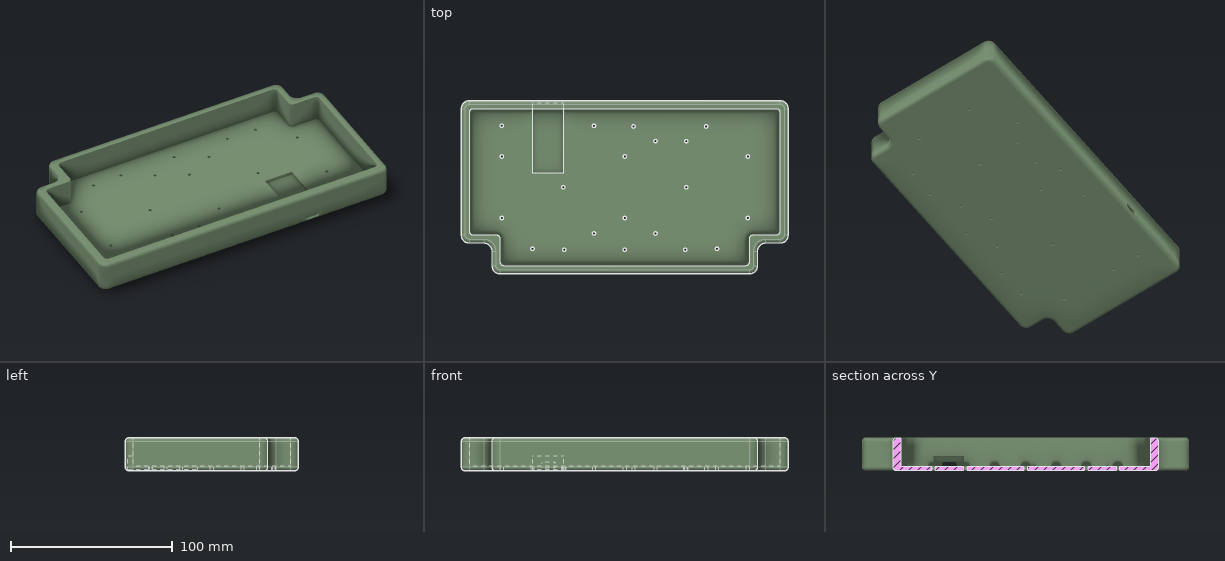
import cadquery as cq

pitch = 19.0
columns = 10
rows = 5
clearance = 1.0
wall = 5.0
height = 20.7
floor_thickness = 3.0

outer_corner_radius = 5.0
inner_corner_radius = 2.5
rim_fillet = 2.5

screw_hole_diameter = 2.0

pocket_width = pitch
pocket_center_x = -2.5 * pitch
pocket_length = 39.7
pocket_depth = 2.0
pocket_wall_bite = 3.5
pocket_height = 8.0

port_width = 9.3
port_height = 3.6
port_offset_x = 0.5
port_center_z = 3.6

inner_length = columns * pitch + 2 * clearance
inner_width = rows * pitch + 2 * clearance
inner_rear_y = inner_width / 2


def stepped_outline(offset, bottom):
    """Rectangle with both front corners notched by one pitch, grown by offset."""
    half_length = inner_length / 2 + offset
    half_width = inner_width / 2 + offset
    notch_x = half_length - pitch
    notch_y = pitch - half_width
    return cq.Workplane("XY").workplane(offset=bottom).polyline([
        (-half_length, half_width),
        (half_length, half_width),
        (half_length, notch_y),
        (notch_x, notch_y),
        (notch_x, -half_width),
        (-notch_x, -half_width),
        (-notch_x, notch_y),
        (-half_length, notch_y),
    ]).close()


def make_tray():
    shell = stepped_outline(wall, 0).extrude(height)
    shell = shell.edges("|Z").fillet(outer_corner_radius)
    shell = shell.faces("<Z or >Z").edges().fillet(rim_fillet)
    cavity = stepped_outline(0, floor_thickness).extrude(height)
    cavity = cavity.edges("|Z").fillet(inner_corner_radius)
    return shell.cut(cavity)


def make_controller_pocket():
    length = pocket_length + pocket_wall_bite
    center_y = inner_rear_y + pocket_wall_bite - length / 2
    return (
        cq.Workplane("XY")
        .workplane(offset=floor_thickness - pocket_depth)
        .center(pocket_center_x, center_y)
        .rect(pocket_width, length)
        .extrude(pocket_height)
    )


def make_port():
    return (
        cq.Workplane("XZ", origin=(pocket_center_x + port_offset_x, inner_rear_y, port_center_z))
        .slot2D(port_width, port_height)
        .extrude(-2 * wall)
    )


def make_screw_holes():
    grid_holes = [
        (-4, 2), (-1, 2),
        (1, 1.5), (2, 1.5),
        (-4, 1), (0, 1), (4, 1),
        (-2, 0), (2, 0),
        (-4, -1), (0, -1), (4, -1),
        (-1, -1.5), (1, -1.5),
        (-3, -2), (3, -2),
    ]
    front_row_y = -38.7
    front_row_spacing = 37.5
    rear_pair_x = 28.0
    rear_pair_y = 37.7
    rear_pair_half_spacing = 22.5

    points = [(column * pitch, row * pitch) for column, row in grid_holes]
    points += [(step * front_row_spacing, front_row_y) for step in (-1, 0, 1)]
    points += [(rear_pair_x + side * rear_pair_half_spacing, rear_pair_y) for side in (-1, 1)]
    return cq.Workplane("XY").pushPoints(points).circle(screw_hole_diameter / 2).extrude(height)


result = (
    make_tray()
    .cut(make_controller_pocket())
    .cut(make_port())
    .cut(make_screw_holes())
)